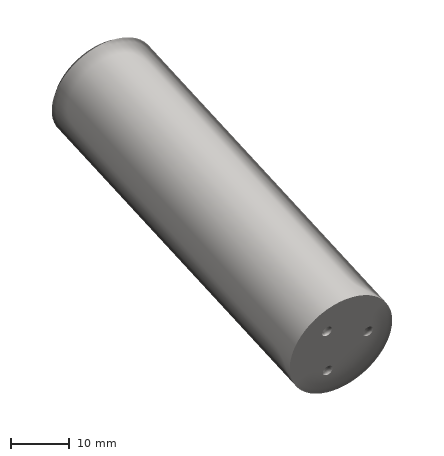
import cadquery as cq

length = 75.0
diameter = 21.0
chamfer = 1.05

channel_count = 3
channel_diameter = 2.0
channel_circle_radius = 5.55
first_channel_angle = 4.0
helix_pitch = 114.0
overshoot = 0.75
cutter_length = length + overshoot
twist_angle = 360.0 * cutter_length / helix_pitch


def make_rod():
    rod = cq.Workplane("YZ").circle(diameter / 2).extrude(length)
    return rod.faces("<X").chamfer(chamfer)


def make_channels():
    """Right-handed twisted channels, round in every section across the axis."""
    return (
        cq.Workplane("YZ")
        .polarArray(channel_circle_radius, first_channel_angle, 360, channel_count)
        .circle(channel_diameter / 2)
        .twistExtrude(cutter_length, twist_angle)
    )


result = make_rod().cut(make_channels())